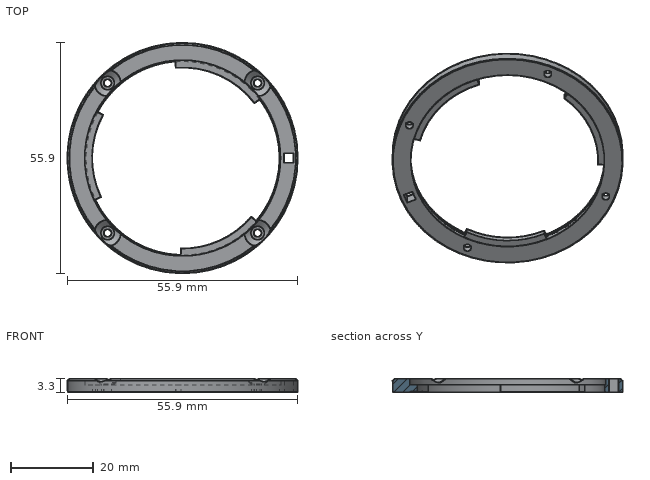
import cadquery as cq
import math

outer_radius = 27.95
height = 3.3
upper_bore_radius = 23.75
lower_bore_radius = 23.45
ledge_height = 1.85
top_chamfer = 0.5
bottom_chamfer = 0.15

tab_inner_radius = 21.9
tab_root_radius = (upper_bore_radius + outer_radius) / 2
tab_bottom = 0.15
tab_height = ledge_height - tab_bottom
tab_spans = [(37.3, 94.4), (151.5, 205.6), (268.9, 319.5)]

screw_circle_radius = 25.7
screw_count = 4
screw_hole_radius = 0.9
seat_floor_radius = 1.6
seat_top_radius = 3.2
seat_depth = 1.2

window_side = 2.25


def ring_body():
    """Revolved ring with a stepped bore and chamfered outer edges."""
    profile = [
        (lower_bore_radius, 0),
        (outer_radius - bottom_chamfer, 0),
        (outer_radius, bottom_chamfer),
        (outer_radius, height - top_chamfer),
        (outer_radius - top_chamfer, height),
        (upper_bore_radius, height),
        (upper_bore_radius, ledge_height),
        (lower_bore_radius, ledge_height),
    ]
    return cq.Workplane("XZ").polyline(profile).close().revolve(360, (0, 0, 0), (0, 1, 0))


def polar_point(radius, angle):
    """XY point at a radius and an angle in degrees."""
    return (radius * math.cos(math.radians(angle)), radius * math.sin(math.radians(angle)))


def locking_tab(start, end):
    """Arc-shaped tab whose root is buried in the ring wall."""
    middle = (start + end) / 2
    return (
        cq.Workplane("XY", origin=(0, 0, tab_bottom))
        .moveTo(*polar_point(tab_inner_radius, start))
        .threePointArc(polar_point(tab_inner_radius, middle), polar_point(tab_inner_radius, end))
        .lineTo(*polar_point(tab_root_radius, end))
        .threePointArc(polar_point(tab_root_radius, middle), polar_point(tab_root_radius, start))
        .close()
        .extrude(tab_height)
    )


def screw_seat_cutter():
    """Through hole opening into a flat-floored conical seat, centred on the Z axis."""
    floor = height - seat_depth
    profile = [
        (0, 0),
        (screw_hole_radius, 0),
        (screw_hole_radius, floor),
        (seat_floor_radius, floor),
        (seat_top_radius, height),
        (0, height),
    ]
    return cq.Workplane("XZ").polyline(profile).close().revolve(360, (0, 0, 0), (0, 1, 0))


result = ring_body()
for start, end in tab_spans:
    result = result.union(locking_tab(start, end))

for index in range(screw_count):
    x, y = polar_point(screw_circle_radius, (index + 0.5) * 360 / screw_count)
    result = result.cut(screw_seat_cutter().translate((x, y, 0)))

window = cq.Workplane("XY").center(screw_circle_radius, 0).rect(window_side, window_side).extrude(height)
result = result.cut(window)